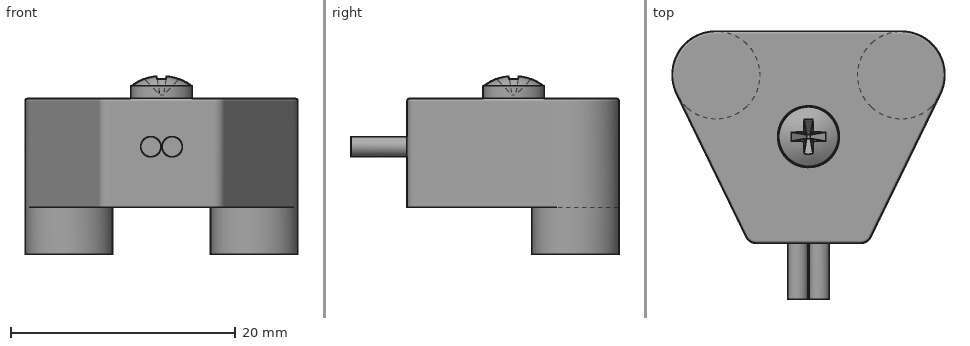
import cadquery as cq
import math

leg_radius = 3.9
leg_offset = 8.25
leg_height = 4.2

housing_height = 9.7
housing_depth = 18.9
front_corner_radius = 1.0
front_corner_offset = 4.65
top_edge_radius = 0.25
housing_top = leg_height + housing_height
housing_back = leg_radius
housing_front = housing_back - housing_depth

wire_diameter = 1.8
wire_pitch = 1.9
wire_length = 5.0
wire_height = 9.6

screw_y = -5.5
head_radius = 2.75
head_rim_height = 1.15
head_edge_radius = 0.1
dome_radius = 4.4

recess_depth = 1.7
recess_floor_width = 0.33
slot_mouth_length = 3.65
slot_mouth_width = 0.88


def make_outline():
    """Plan outline: straight back, round rear corners, slanted sides, small front corners."""
    corner_y = housing_front + front_corner_radius
    run = leg_offset - front_corner_offset
    radius_step = leg_radius - front_corner_radius
    normal = -math.atan2(run, -corner_y) - math.asin(radius_step / math.hypot(run, corner_y))
    forward = -math.pi / 2
    backward = math.pi / 2

    def on_arc(centre_x, centre_y, radius, angle):
        return centre_x + radius * math.cos(angle), centre_y + radius * math.sin(angle)

    def mirrored(point):
        return -point[0], point[1]

    rear_start = (leg_offset, housing_back)
    rear_mid = on_arc(leg_offset, 0, leg_radius, (backward + normal) / 2)
    rear_end = on_arc(leg_offset, 0, leg_radius, normal)
    front_start = on_arc(front_corner_offset, corner_y, front_corner_radius, normal)
    front_mid = on_arc(front_corner_offset, corner_y, front_corner_radius, (normal + forward) / 2)
    front_end = (front_corner_offset, housing_front)
    return (
        cq.Workplane("XY", origin=(0, 0, leg_height))
        .moveTo(*rear_start)
        .threePointArc(rear_mid, rear_end)
        .lineTo(*front_start)
        .threePointArc(front_mid, front_end)
        .lineTo(*mirrored(front_end))
        .threePointArc(mirrored(front_mid), mirrored(front_start))
        .lineTo(*mirrored(rear_end))
        .threePointArc(mirrored(rear_mid), mirrored(rear_start))
        .close()
    )


def make_housing():
    """Housing block with its two legs and two wire stubs."""
    block = make_outline().extrude(housing_height).faces(">Z").edges().fillet(top_edge_radius)
    legs = (
        cq.Workplane("XY")
        .pushPoints([(-leg_offset, 0), (leg_offset, 0)])
        .circle(leg_radius)
        .extrude(leg_height)
    )
    wires = (
        cq.Workplane("XZ", origin=(0, housing_front, wire_height))
        .pushPoints([(-wire_pitch / 2, 0), (wire_pitch / 2, 0)])
        .circle(wire_diameter / 2)
        .extrude(wire_length)
    )
    return block.union(legs, clean=False).union(wires, clean=False)


def make_screw():
    """Domed screw head with a tapered cross recess."""
    dome_base_radius = head_radius - head_edge_radius
    sphere_drop = math.sqrt(dome_radius**2 - dome_base_radius**2)
    apex = head_rim_height + dome_radius - sphere_drop
    half_chord = dome_base_radius / 2
    dome_mid = (half_chord, head_rim_height - sphere_drop + math.sqrt(dome_radius**2 - half_chord**2))
    edge_mid = head_edge_radius * math.cos(math.pi / 4)
    head = (
        cq.Workplane("XZ")
        .lineTo(head_radius, 0)
        .lineTo(head_radius, head_rim_height - head_edge_radius)
        .threePointArc(
            (dome_base_radius + edge_mid, head_rim_height - head_edge_radius + edge_mid),
            (dome_base_radius, head_rim_height),
        )
        .threePointArc(dome_mid, (0, apex))
        .close()
        .revolve(360, (0, 0, 0), (0, 1, 0))
    )
    slot = (
        cq.Workplane("XY", origin=(0, 0, apex - recess_depth))
        .rect(recess_floor_width, recess_floor_width)
        .workplane(offset=recess_depth)
        .rect(slot_mouth_length, slot_mouth_width)
        .loft(ruled=True)
    )
    for angle in (0, 90):
        head = head.cut(slot.rotate((0, 0, 0), (0, 0, 1), angle))
    return head.translate((0, screw_y, housing_top))


housing = make_housing()
screw = make_screw()
result = cq.Compound.makeCompound([housing.val(), screw.val()])